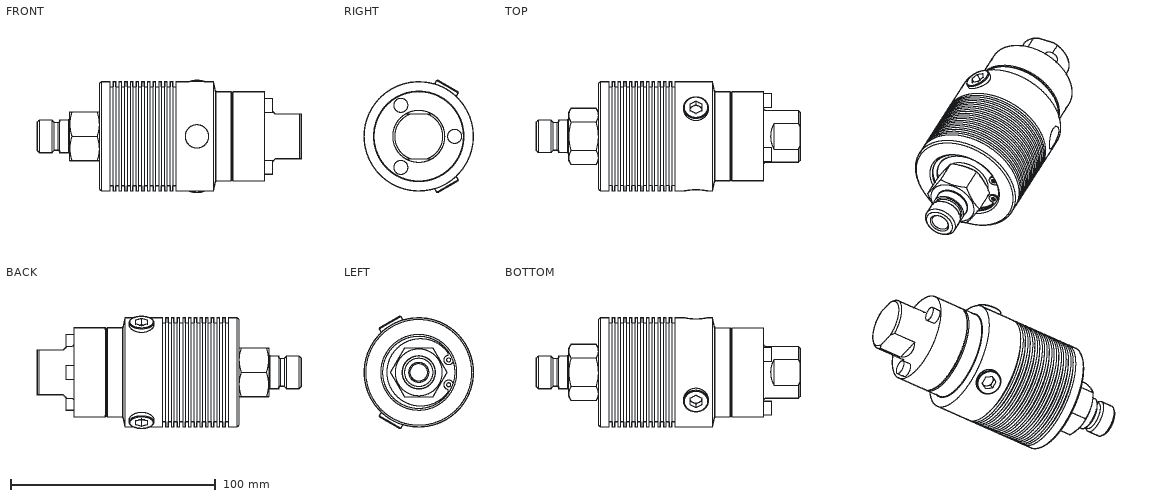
import cadquery as cq
import math


STUB_DIA = 16.02
STUB_CHAMFER = 1.1
NECK_DIA = 13.6
NECK_STEP_DIA = 14.25
NECK_TAPER_START = 7.2
NECK_START = 8.35
NECK_STEP_START = 10.2
NECK_END = 10.95
COLLAR_DIA = 16.25
COLLAR_START = 15.2
STUB_BORE_DIA = 8.5
STUB_BORE_MOUTH_DIA = 9.8
STUB_BORE_DEPTH = 30.0

HEX_START = 15.7
HEX_ACROSS_FLATS = 23.9
HEX_CHAMFER_DIA = 22.9
HEX_CHAMFER_ANGLE = 30.0
HEX_END = 30.65

BODY_DIA = 53.45
BODY_START = 30.4
BODY_CHAMFER = 0.9
BODY_END = 86.05
BODY_END_TAPER = 1.0
BODY_LIP_DIA = 44.2
BODY_LIP_LENGTH = 0.2
FIN_ROOT_DIA = 48.3
GROOVE_COUNT = 12
FIRST_GROOVE = 35.65
GROOVE_WIDTH = 1.5
GROOVE_PITCH = 2.78
GROOVE_CUT_MARGIN = 2.0

RECESS_DIA = 35.27
RECESS_CHAMFER = 0.9
RECESS_DEPTH = 2.5
RING_SETBACK = 1.7
RING_INNER_DIA = 32.9
RING_OFFSET = 0.9
EAR_DIA = 4.6
EAR_HOLE_DIA = 2.0
EAR_Y = -14.6
EAR_Z = 6.05
EAR_WEB_Y = -14.2
EAR_WEB_HALF_SPAN = 9.4

HOUSING_DIA = 43.6
HOUSING_GROOVE_START = 94.7
HOUSING_CHAMFER = 0.5
HOUSING_GROOVE_DEPTH = 0.9
HOUSING_GROOVE_WIDTH = 0.9
HOUSING_END = 111.0

SCREW_CIRCLE_DIA = 35.0
SCREW_HEAD_DIA = 6.86
SCREW_HEAD_HEIGHT = 3.9
SCREW_COUNT = 3

BOSS_DIA = 25.4
BOSS_ROOT_FILLET = 1.1
BOSS_CHAMFER = 1.0
FLAT_ACROSS = 22.0
FLAT_START = 116.2
PART_LENGTH = 128.97

PORT_X = 78.0
PORT_DIA = 11.4
PORT_ANGLE = 180.0
PORT_FLOOR_RADIUS = 21.0
PLUG_ANGLES = (60.0, -60.0)
PLUG_DIA = 12.2
PLUG_TOP_RADIUS = 28.4
PLUG_CHAMFER = 0.4
SOCKET_ACROSS_FLATS = 6.0
SOCKET_DEPTH = 3.5
SOCKET_POINT_ANGLE = 118.0


def axial_cylinder(diameter, x_start, x_end, y=0.0, z=0.0):
    """Cylinder along X between two stations."""
    return cq.Workplane("YZ", origin=(x_start, y, z)).circle(diameter / 2).extrude(x_end - x_start)


def axial_revolve(points):
    """Solid of revolution about X from (x, radius) points."""
    return cq.Workplane("XY").polyline(points).close().revolve(360, (0, 0, 0), (1, 0, 0))


def hex_diameter(across_flats):
    """Diameter over the corners of a hexagon."""
    return across_flats / math.cos(math.radians(30))


def make_stub():
    """Stub with a chamfered tip, a relieved neck and a low collar against the hexagon."""
    r = STUB_DIA / 2
    return axial_revolve([
        (0, 0),
        (0, r - STUB_CHAMFER),
        (STUB_CHAMFER, r),
        (NECK_TAPER_START, r),
        (NECK_START, NECK_DIA / 2),
        (NECK_STEP_START, NECK_DIA / 2),
        (NECK_END, NECK_STEP_DIA / 2),
        (NECK_END, r),
        (COLLAR_START, r),
        (COLLAR_START, COLLAR_DIA / 2),
        (HEX_START, COLLAR_DIA / 2),
        (HEX_START, 0),
    ])


def make_hexagon():
    """Hexagon with corners on Y, both ends turned down to a cone."""
    corner_dia = hex_diameter(HEX_ACROSS_FLATS)
    corner_r = corner_dia / 2
    face_r = HEX_CHAMFER_DIA / 2
    slope = (corner_r - face_r) * math.tan(math.radians(HEX_CHAMFER_ANGLE))
    prism = cq.Workplane("YZ", origin=(HEX_START, 0, 0)).polygon(6, corner_dia).extrude(HEX_END - HEX_START)
    turned = axial_revolve([
        (HEX_START, 0),
        (HEX_START, face_r),
        (HEX_START + slope, corner_r),
        (HEX_END - slope, corner_r),
        (HEX_END, face_r),
        (HEX_END, 0),
    ])
    return prism.intersect(turned)


def make_hex_shank():
    """Round shank joining the hexagon to the floor of the recess."""
    return axial_cylinder(HEX_CHAMFER_DIA, HEX_END, BODY_START + RECESS_DEPTH)


def make_body():
    """Body with a chamfered front, a tapered rear end with a short lip, and the fin grooves."""
    r = BODY_DIA / 2
    taper_end = BODY_END + BODY_END_TAPER
    lip_end = taper_end + BODY_LIP_LENGTH
    body = axial_revolve([
        (BODY_START, 0),
        (BODY_START, r - BODY_CHAMFER),
        (BODY_START + BODY_CHAMFER, r),
        (BODY_END, r),
        (taper_end, BODY_LIP_DIA / 2),
        (lip_end, BODY_LIP_DIA / 2),
        (lip_end, 0),
    ])
    for index in range(GROOVE_COUNT):
        start = FIRST_GROOVE + index * GROOVE_PITCH
        end = start + GROOVE_WIDTH
        groove = axial_cylinder(BODY_DIA + GROOVE_CUT_MARGIN, start, end)
        groove = groove.cut(axial_cylinder(FIN_ROOT_DIA, start, end))
        body = body.cut(groove)
    return body


def make_recess_cut():
    """Round recess with a chamfered mouth."""
    r = RECESS_DIA / 2
    floor = BODY_START + RECESS_DEPTH
    return axial_revolve([
        (BODY_START, 0),
        (BODY_START, r + RECESS_CHAMFER),
        (BODY_START + RECESS_CHAMFER, r),
        (floor, r),
        (floor, 0),
    ])


def make_retaining_ring():
    """Eccentric open ring with two drilled ears, resting on the recess floor."""
    start = BODY_START + RING_SETBACK
    end = BODY_START + RECESS_DEPTH
    thickness = end - start
    corner_centered = (False, False, True)
    ring = axial_cylinder(RECESS_DIA, start, end)
    ring = ring.cut(axial_cylinder(RING_INNER_DIA, start, end, y=-RING_OFFSET))
    web = cq.Workplane("XY").box(thickness, RECESS_DIA, 2 * EAR_WEB_HALF_SPAN, centered=corner_centered)
    ring = ring.union(web.translate((start, EAR_WEB_Y - RECESS_DIA, 0)))
    gap = cq.Workplane("XY").box(thickness, RECESS_DIA, 2 * EAR_Z, centered=corner_centered)
    ring = ring.cut(gap.translate((start, -RECESS_DIA, 0)))
    for z in (EAR_Z, -EAR_Z):
        ring = ring.union(axial_cylinder(EAR_DIA, start, end, EAR_Y, z))
    for z in (EAR_Z, -EAR_Z):
        ring = ring.cut(axial_cylinder(EAR_HOLE_DIA, start, end, EAR_Y, z))
    return ring.intersect(axial_cylinder(RECESS_DIA, start, end))


def make_housing():
    """Rear housing with a chamfered edge and a narrow groove before the flange."""
    r = HOUSING_DIA / 2
    chamfer_end = HOUSING_GROOVE_START + HOUSING_CHAMFER
    groove_end = HOUSING_GROOVE_START + HOUSING_GROOVE_WIDTH
    return axial_revolve([
        (BODY_END, 0),
        (BODY_END, r),
        (HOUSING_GROOVE_START, r),
        (chamfer_end, r - HOUSING_CHAMFER),
        (chamfer_end, r - HOUSING_GROOVE_DEPTH),
        (groove_end, r - HOUSING_GROOVE_DEPTH),
        (groove_end, r),
        (HOUSING_END, r),
        (HOUSING_END, 0),
    ])


def make_boss():
    """Outlet boss with a root fillet, and two wrench flats running out on 45 degree slopes."""
    r = BOSS_DIA / 2
    fillet_r = BOSS_ROOT_FILLET
    fillet_mid = fillet_r * (1 - math.sqrt(0.5))
    boss = (
        cq.Workplane("XY")
        .moveTo(HOUSING_END, 0)
        .lineTo(HOUSING_END, r + fillet_r)
        .threePointArc((HOUSING_END + fillet_mid, r + fillet_mid), (HOUSING_END + fillet_r, r))
        .lineTo(PART_LENGTH - BOSS_CHAMFER, r)
        .lineTo(PART_LENGTH, r - BOSS_CHAMFER)
        .lineTo(PART_LENGTH, 0)
        .close()
        .revolve(360, (0, 0, 0), (1, 0, 0))
    )
    flat_z = FLAT_ACROSS / 2
    cut_height = r
    flat = (
        cq.Workplane("XZ")
        .polyline([
            (FLAT_START, flat_z),
            (PART_LENGTH, flat_z),
            (PART_LENGTH, flat_z + cut_height),
            (FLAT_START - cut_height, flat_z + cut_height),
        ])
        .close()
        .extrude(r, both=True)
    )
    flat = flat.intersect(axial_cylinder(BOSS_DIA, HOUSING_END, PART_LENGTH))
    return boss.cut(flat).cut(flat.mirror("XY"))


def make_screws():
    """Screw heads evenly spaced on the flange, the first one on +Y."""
    screws = cq.Workplane("XY")
    for index in range(SCREW_COUNT):
        angle = math.radians(index * 360 / SCREW_COUNT)
        y = SCREW_CIRCLE_DIA / 2 * math.cos(angle)
        z = SCREW_CIRCLE_DIA / 2 * math.sin(angle)
        head = axial_cylinder(SCREW_HEAD_DIA, HOUSING_END, HOUSING_END + SCREW_HEAD_HEIGHT, y, z)
        screws = screws.union(head)
    return screws


def radial_plane(angle, radius):
    """Workplane facing outward at an angle measured from +Y toward +Z; local x runs along X."""
    a = math.radians(angle)
    normal = (0, math.cos(a), math.sin(a))
    origin = (PORT_X, radius * normal[1], radius * normal[2])
    return cq.Workplane(cq.Plane(origin=origin, xDir=(1, 0, 0), normal=normal))


def make_plug(angle):
    """Round plug with a chamfered top, seated on the port floor radius."""
    height = PLUG_TOP_RADIUS - PORT_FLOOR_RADIUS
    plug = radial_plane(angle, PORT_FLOOR_RADIUS).circle(PLUG_DIA / 2).extrude(height)
    top_center = radial_plane(angle, PLUG_TOP_RADIUS).plane.origin.toTuple()
    top_face = cq.selectors.NearestToPointSelector(top_center)
    return plug.faces(top_face).edges().chamfer(PLUG_CHAMFER)


def make_socket(angle):
    """Hexagon socket with a drill point, two corners lying across the part axis."""
    corner_dia = hex_diameter(SOCKET_ACROSS_FLATS)
    outline = radial_plane(angle, PLUG_TOP_RADIUS).transformed(rotate=(0, 0, 90))
    hexagon = outline.polygon(6, corner_dia).extrude(-SOCKET_DEPTH)
    point_r = SOCKET_ACROSS_FLATS / 2
    point_depth = point_r / math.tan(math.radians(SOCKET_POINT_ANGLE / 2))
    floor = radial_plane(angle, PLUG_TOP_RADIUS - SOCKET_DEPTH).plane
    point = cq.Solid.makeCone(point_r, 0, point_depth, floor.origin, -floor.zDir)
    return hexagon.union(cq.Workplane(point))


def make_port():
    """Open port whose floor is the cylinder of the inner core."""
    hole = radial_plane(PORT_ANGLE, 0).circle(PORT_DIA / 2).extrude(BODY_DIA)
    return hole.cut(axial_cylinder(2 * PORT_FLOOR_RADIUS, BODY_START, BODY_END))


def make_stub_bore():
    """Flat-bottomed bore along the axis, with a chamfered mouth."""
    mouth_r = STUB_BORE_MOUTH_DIA / 2
    r = STUB_BORE_DIA / 2
    return axial_revolve([
        (0, 0),
        (0, mouth_r),
        (mouth_r - r, r),
        (STUB_BORE_DEPTH, r),
        (STUB_BORE_DEPTH, 0),
    ])


result = make_body().cut(make_recess_cut()).union(make_retaining_ring())
for section in (make_hex_shank(), make_hexagon(), make_stub(), make_housing(), make_boss(), make_screws()):
    result = result.union(section)
result = result.cut(make_port()).cut(make_stub_bore())
for plug_angle in PLUG_ANGLES:
    result = result.union(make_plug(plug_angle)).cut(make_socket(plug_angle))